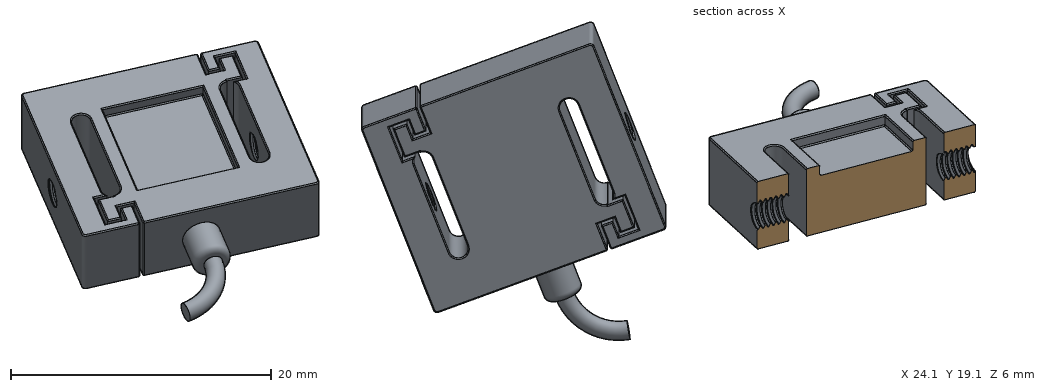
import cadquery as cq
import math

width = 16.0
length = 19.1
height = 6.0
corner_radius = 0.3
edge_chamfer = 0.1

slot_length = 9.0
slot_width = 1.5
slot_y = 6.0

gap = 0.25
gap_inner_x = 4.45
gap_middle_x = 5.83
gap_outer_x = 7.13
gap_far_y = 7.37
gap_near_y = 4.82

pocket_x = 9.0
pocket_y = 8.1
pocket_depth = 0.92

thread_minor_radius = 1.0
thread_major_radius = 1.25
thread_pitch = 0.45
thread_root_flat = thread_pitch / 8
thread_flank_angle = 30
cutter_overlap = 0.05
thread_start_angle = -20

gland_radius = 1.52
gland_length = 3.0
gland_fillet = 0.5
cable_radius = 0.75
bend_radius = 4.43
bend_angle = 79


def half_turn(shape):
    """Copy of a shape turned half a turn about the vertical axis."""
    return shape.rotate((0, 0, 0), (0, 0, 1), 180)


def bar(start, end):
    """Straight stretch of the gap between two points, with square ends half a gap beyond each."""
    (x0, y0), (x1, y1) = start, end
    size_x = abs(x1 - x0) + gap
    size_y = abs(y1 - y0) + gap
    middle = ((x0 + x1) / 2, (y0 + y1) / 2)
    return cq.Workplane("XY").center(*middle).rect(size_x, size_y).extrude(height, both=True)


def slot_and_gap():
    """The +Y slot together with the gap that runs from it to the -X face."""
    void = cq.Workplane("XY").center(0, slot_y).slot2D(slot_length, slot_width).extrude(height, both=True)
    path = [
        (-gap_inner_x, slot_y + gap / 2),
        (-gap_inner_x, gap_far_y),
        (-gap_outer_x, gap_far_y),
        (-gap_outer_x, slot_y),
        (-gap_middle_x, slot_y),
        (-gap_middle_x, gap_near_y),
        (-width, gap_near_y),
    ]
    for start, end in zip(path, path[1:]):
        void = void.union(bar(start, end))
    return void.clean()


def pocket():
    """Pocket volume with a bevel around its floor."""
    floor_z = height / 2 - pocket_depth
    return (
        cq.Workplane("XY", origin=(0, 0, floor_z))
        .rect(pocket_x, pocket_y)
        .extrude(pocket_depth)
        .faces("<Z")
        .chamfer(edge_chamfer)
    )


def threaded_hole():
    """Hole from the -Y end into the slot, with a helical thread groove in its wall."""
    end_y = -length / 2
    depth = length / 2 - slot_y
    hole = cq.Workplane("XZ", origin=(0, end_y + depth, 0)).circle(thread_minor_radius).extrude(depth)

    run_in = thread_pitch
    helix = cq.Wire.makeHelix(thread_pitch, depth + run_in, thread_minor_radius)
    root = thread_root_flat / 2
    slope = math.tan(math.radians(thread_flank_angle))
    inner_radius = thread_minor_radius - cutter_overlap
    mouth = root + (thread_major_radius - inner_radius) * slope
    cutter = (
        cq.Workplane("XZ")
        .polyline(
            [
                (inner_radius, -mouth),
                (thread_major_radius, -root),
                (thread_major_radius, root),
                (inner_radius, mouth),
            ]
        )
        .close()
        .sweep(cq.Workplane(helix), isFrenet=True)
        .rotate((0, 0, 0), (1, 0, 0), -90)
        .rotate((0, 0, 0), (0, 1, 0), -thread_start_angle)
        .translate((0, end_y - run_in, 0))
    )
    return hole.union(cutter)


def gland_and_cable():
    """Round gland on the +X face with a cable that bends towards -Y."""
    face_x = width / 2
    gland = cq.Workplane("YZ", origin=(face_x, 0, 0)).circle(gland_radius).extrude(gland_length)
    gland = gland.faces(">X").edges().fillet(gland_fillet)
    cable = (
        cq.Workplane("YZ", origin=(face_x + gland_length, 0, 0))
        .circle(cable_radius)
        .revolve(bend_angle, (-bend_radius, 0.25, 0), (-bend_radius, 0, 0))
    )
    return gland.union(cable)


block = cq.Workplane("XY").box(width, length, height).edges("|Z").fillet(corner_radius)
void = slot_and_gap()
block = block.cut(void).cut(half_turn(void)).cut(pocket())
block = block.faces("<X or >X or <Z or >Z").edges().chamfer(edge_chamfer)

hole = threaded_hole()
block = block.cut(hole).cut(half_turn(hole))

result = cq.Workplane(block.union(gland_and_cable()).solids().val())